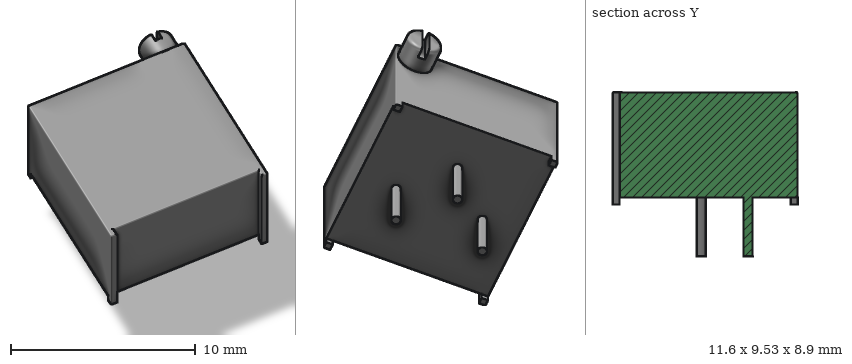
import cadquery as cq

body_length = 10.03
body_width = 9.53
body_height = 6.1
edge_radius = 0.1
wall = 0.38
recess_depth = wall
foot_size = wall
standoff = wall

screw_diameter = 2.0
screw_length = 1.52
screw_inset = 1.11
screw_rounding = 0.3
slot_width = 0.4
slot_depth = 0.63

pin_diameter = 0.51
pin_pitch = 2.54
pin_protrusion = 2.8
middle_pin_setback = 2.69

x_min = -body_length / 2


def block(length, width, height):
    """Box centred on the Z axis and standing on the foot plane."""
    return cq.Workplane("XY").box(length, width, height, centered=(True, True, False))


def make_housing():
    """Block with a recessed +X side, rounded edges and four corner feet."""
    housing = block(body_length, body_width, body_height).edges("|Z").fillet(edge_radius)
    recess = block(2 * recess_depth, body_width - 2 * wall, body_height)
    housing = housing.cut(recess.translate((body_length / 2, 0, 0)))
    housing = housing.faces(">Z").edges().fillet(edge_radius)

    lengthwise_channel = block(body_length, body_width - 2 * foot_size, standoff)
    crosswise_channel = block(body_length - 2 * foot_size, body_width, standoff)
    return housing.cut(lengthwise_channel).cut(crosswise_channel)


def make_screw():
    """Round screw head along -X with a rounded rim and an upright driver slot."""
    head = cq.Workplane("YZ").circle(screw_diameter / 2).extrude(-screw_length)
    head = head.faces("<X").edges().fillet(screw_rounding)
    slot = cq.Workplane("XY").box(slot_depth, slot_width, screw_diameter, centered=(False, True, True))
    head = head.cut(slot.translate((-screw_length, 0, 0)))
    return head.translate((x_min, body_width / 2 - screw_inset, body_height - screw_inset))


def make_pins():
    """Three round pins hanging from the underside of the housing."""
    middle_x = x_min + middle_pin_setback
    outer_x = middle_x + pin_pitch
    centers = [(outer_x, -pin_pitch), (middle_x, 0), (outer_x, pin_pitch)]
    return (
        cq.Workplane("XY", origin=(0, 0, standoff))
        .pushPoints(centers)
        .circle(pin_diameter / 2)
        .extrude(-(standoff + pin_protrusion))
    )


result = make_housing().union(make_screw()).union(make_pins())